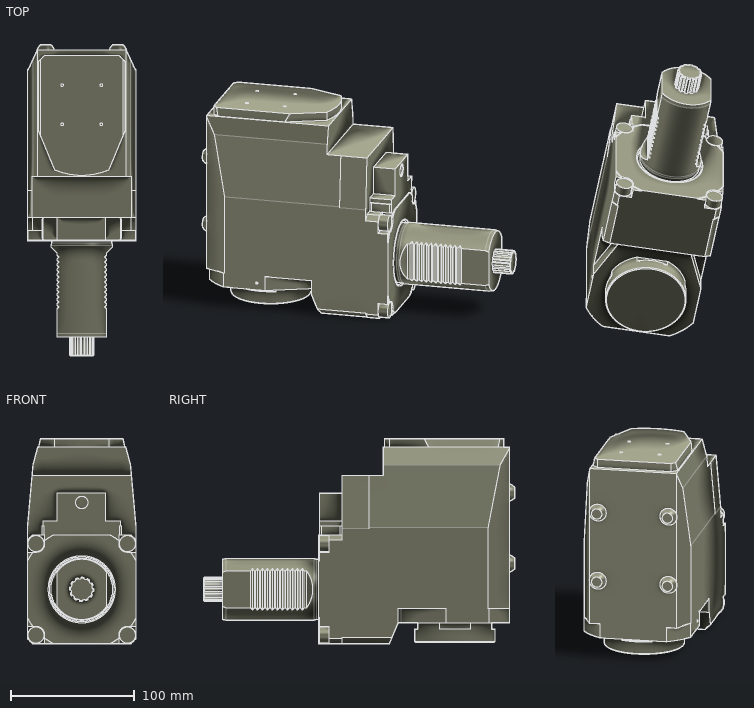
import cadquery as cq
import math


HALF_WIDTH = 44.0
BOTTOM_Z = -HALF_WIDTH
BOTTOM_CHAMFER = 5.0
SIDE_BREAK_Z = 49.7
COLLAR_BREAK_Z = 49.0
SHOULDER_Z = 100.5
SHOULDER_HALF = 39.5

FLANGE_BACK_Y = 18.8
COLLAR_BACK_Y = 40.7
STEP_Y = 52.2
STEP_Z = 92.0
BODY_TOP_Z = 114.8
BODY_TOP_HALF = 35.7
BACK_Y = 154.2
HEAD_BOTTOM_Z = -27.0
SPINDLE_Y = 110.0
LEG_TOP_Y = 64.3
LEG_BOTTOM_Y = 57.3

BACK_CHAMFER_X = 8.0
BACK_CHAMFER_Y = 17.3
LOWER_BACK_Z = -15.3
LOWER_BACK_RADIUS = 52.0

RELIEF_START_Y = 103.0
RELIEF_DEPTH = 16.3
RELIEF_FILLET = 1.8

PLATE_TOP_Z = 121.5
PLATE_TOP_HALF = 33.5
PLATE_BASE_HALF = 35.0
PLATE_BACK_Y = 149.7
PLATE_CORNER = 3.3
PLATE_TAPER_Y = 89.0
PLATE_NOSE_RADIUS = 57.0
PLATE_NOSE_HALF = 21.9
PLATE_HOLE_DIAMETER = 2.1
PLATE_HOLE_OFFSET = 15.8
PLATE_HOLE_DEPTH = 2.5
SIDE_HOLE_DIAMETER = 1.7
SIDE_HOLE_Z = -21.3
SIDE_HOLE_DEPTH = 2.5

SPINDLE_DIAMETER = 65.0
SPINDLE_BOTTOM_Z = -42.7
SPINDLE_CHAMFER = 0.8
SPINDLE_FLATS = 60.0
SPINDLE_FLAT_HEIGHT = 5.0

FLANGE_CHAMFER = 4.3
FACE_STEP = 0.8
RAISED_FACE_DIAMETER = 99.0
POCKET_SIZE = 14.0
POCKET_FLOOR_Y = 8.5
SCREW_DIAMETER = 13.0
SCREW_OFFSET = HALF_WIDTH - POCKET_SIZE / 2
GROOVE_DIAMETER = 54.2
GROOVE_DEPTH = 1.5
GROOVE_CHAMFER = 1.0

BASE_HALF = 32.1
BASE_TOP_Z = 51.2
BASE_CORNER = 1.5
LEDGE_HALF = 31.1
LEDGE_TOP_Z = 55.0
BLOCK_LEFT_X = -19.8
BLOCK_RIGHT_X = 19.0
BLOCK_TOP_Z = 77.5
BLOCK_HOLE_DIAMETER = 10.0
BLOCK_HOLE_Z = 70.0
BLOCK_HOLE_DEPTH = 1.0

SHANK_DIAMETER = 50.0
NECK_DIAMETER = 48.7
NECK_LENGTH = 1.5
NECK_TAPER_END_Y = -3.8
SHANK_END_Y = -77.5
SHANK_END_TAPER = 3.0
FLAT_HALF = 20.0
FLAT_START_Y = -9.5
NOTCH_COUNT = 11
NOTCH_PITCH = 4.0
FIRST_NOTCH_Y = -13.0
NOTCH_WIDTH = 3.0
NOTCH_DEPTH = 1.5

SPLINE_END_Y = -92.7
SPLINE_DIAMETER = 19.5
SPLINE_ROOT_DIAMETER = 17.0
SPLINE_COUNT = 12
SPLINE_GAP_WIDTH = 3.3
SPLINE_GAP_FLOOR = 1.5
SPLINE_PHASE = 4
SPLINE_EDGE = 0.8

BUTTON_DIAMETER = 14.0
BUTTON_HEIGHT = 4.3
BUTTON_TOP_DIAMETER = 8.5
BUTTON_BULGE = 0.3
BUTTON_X = 29.1
BUTTON_Z = (20.8, 78.0)

BIG = 502.3
BOTH_SIDES = (-1, 1)


def box(x, y, z):
    """Box from three (low, high) ranges."""
    size = [high - low for low, high in (x, y, z)]
    return cq.Workplane("XY").box(*size, centered=False).translate((x[0], y[0], z[0]))


def cylinder_y(diameter, y_front, y_back, x=0, z=0):
    """Cylinder along Y between two Y positions."""
    length = y_back - y_front
    return cq.Workplane("XZ", origin=(x, y_back, z)).circle(diameter / 2).extrude(length)


def tapered_section(break_z, y_front, y_back):
    """Housing cross-section with sides that lean inward above break_z."""
    low = HALF_WIDTH - BOTTOM_CHAMFER
    right = [
        (low, BOTTOM_Z),
        (HALF_WIDTH, BOTTOM_Z + BOTTOM_CHAMFER),
        (HALF_WIDTH, break_z),
        (SHOULDER_HALF, SHOULDER_Z),
        (BODY_TOP_HALF, BODY_TOP_Z),
    ]
    left = [(-x, z) for x, z in reversed(right)]
    outline = cq.Workplane("XZ", origin=(0, y_back, 0)).polyline(right + left).close()
    return outline.extrude(y_back - y_front)


def make_body():
    side = [
        (COLLAR_BACK_Y, BOTTOM_Z),
        (LEG_BOTTOM_Y, BOTTOM_Z),
        (LEG_TOP_Y, HEAD_BOTTOM_Z),
        (BACK_Y, HEAD_BOTTOM_Z),
        (BACK_Y, BODY_TOP_Z),
        (STEP_Y, BODY_TOP_Z),
        (STEP_Y, STEP_Z),
        (COLLAR_BACK_Y, STEP_Z),
    ]
    prism = cq.Workplane("YZ").polyline(side).close().extrude(HALF_WIDTH, both=True)
    body = tapered_section(SIDE_BREAK_Z, COLLAR_BACK_Y, BACK_Y).intersect(prism)
    return body.intersect(back_outline()).cut(side_reliefs())


def back_outline():
    """Plan outlines: bevelled back corners above, corners rounded about the spindle below."""
    upper = (
        cq.Workplane("XY", origin=(0, 0, LOWER_BACK_Z))
        .moveTo(-HALF_WIDTH, 0)
        .lineTo(HALF_WIDTH, 0)
        .lineTo(HALF_WIDTH, BACK_Y - BACK_CHAMFER_Y)
        .lineTo(HALF_WIDTH - BACK_CHAMFER_X, BACK_Y)
        .lineTo(BACK_CHAMFER_X - HALF_WIDTH, BACK_Y)
        .lineTo(-HALF_WIDTH, BACK_Y - BACK_CHAMFER_Y)
        .close()
        .extrude(BODY_TOP_Z - LOWER_BACK_Z)
    )
    round_end = (
        cq.Workplane("XY", origin=(0, SPINDLE_Y, BOTTOM_Z))
        .circle(LOWER_BACK_RADIUS)
        .extrude(LOWER_BACK_Z - BOTTOM_Z)
    )
    behind_back = box((-BIG, BIG), (BACK_Y, BIG), (-BIG, BIG))
    ahead = box((-HALF_WIDTH, HALF_WIDTH), (0, SPINDLE_Y), (BOTTOM_Z, LOWER_BACK_Z))
    lower = ahead.union(round_end).cut(behind_back)
    return upper.union(lower)


def side_reliefs():
    """Wedges that narrow the spindle head toward the front leg."""
    left = (
        cq.Workplane("XY", origin=(0, 0, BOTTOM_Z))
        .moveTo(-HALF_WIDTH, RELIEF_START_Y)
        .lineTo(RELIEF_DEPTH - HALF_WIDTH, LEG_TOP_Y)
        .lineTo(-HALF_WIDTH, LEG_TOP_Y)
        .close()
        .extrude(LOWER_BACK_Z - BOTTOM_Z)
        .edges("|Z and >X")
        .fillet(RELIEF_FILLET)
    )
    return left.union(left.mirror("YZ"))


def make_collar():
    collar = tapered_section(COLLAR_BREAK_Z, FLANGE_BACK_Y, COLLAR_BACK_Y)
    below_step = box((-BIG, BIG), (-BIG, BIG), (-BIG, STEP_Z))
    return collar.intersect(below_step)


def make_top_plate():
    nose_y = SPINDLE_Y - math.sqrt(PLATE_NOSE_RADIUS**2 - PLATE_NOSE_HALF**2)
    corner_x = PLATE_TOP_HALF - PLATE_CORNER
    side_y = PLATE_BACK_Y - PLATE_CORNER - (PLATE_BASE_HALF - PLATE_TOP_HALF)
    outline = (
        cq.Workplane("XY", origin=(0, 0, BODY_TOP_Z))
        .moveTo(PLATE_NOSE_HALF, nose_y)
        .lineTo(PLATE_BASE_HALF, PLATE_TAPER_Y)
        .lineTo(PLATE_BASE_HALF, side_y)
        .lineTo(corner_x, PLATE_BACK_Y)
        .lineTo(-corner_x, PLATE_BACK_Y)
        .lineTo(-PLATE_BASE_HALF, side_y)
        .lineTo(-PLATE_BASE_HALF, PLATE_TAPER_Y)
        .lineTo(-PLATE_NOSE_HALF, nose_y)
        .threePointArc((0, SPINDLE_Y - PLATE_NOSE_RADIUS), (PLATE_NOSE_HALF, nose_y))
        .close()
    )
    plate = outline.extrude(PLATE_TOP_Z - BODY_TOP_Z)
    bevelled_sides = (
        cq.Workplane("XZ", origin=(0, BACK_Y, 0))
        .moveTo(-PLATE_BASE_HALF, BODY_TOP_Z)
        .lineTo(PLATE_BASE_HALF, BODY_TOP_Z)
        .lineTo(PLATE_TOP_HALF, PLATE_TOP_Z)
        .lineTo(-PLATE_TOP_HALF, PLATE_TOP_Z)
        .close()
        .extrude(BACK_Y)
    )
    plate = plate.intersect(bevelled_sides)
    holes = (
        cq.Workplane("XY", origin=(0, SPINDLE_Y, PLATE_TOP_Z))
        .rect(2 * PLATE_HOLE_OFFSET, 2 * PLATE_HOLE_OFFSET, forConstruction=True)
        .vertices()
        .circle(PLATE_HOLE_DIAMETER / 2)
        .extrude(-PLATE_HOLE_DEPTH)
    )
    return plate.cut(holes)


def make_spindle():
    """Spindle disc with four drive flats just below the housing."""
    disc = (
        cq.Workplane("XY", origin=(0, SPINDLE_Y, SPINDLE_BOTTOM_Z))
        .circle(SPINDLE_DIAMETER / 2)
        .extrude(HEAD_BOTTOM_Z - SPINDLE_BOTTOM_Z)
        .faces("<Z")
        .chamfer(SPINDLE_CHAMFER)
    )
    top = cq.Workplane("XY", origin=(0, SPINDLE_Y, HEAD_BOTTOM_Z))
    ring = top.circle(SPINDLE_DIAMETER).extrude(-SPINDLE_FLAT_HEIGHT)
    square = top.rect(SPINDLE_FLATS, SPINDLE_FLATS).extrude(-SPINDLE_FLAT_HEIGHT)
    return disc.cut(ring.cut(square))


def corner_pocket(side_x, side_z):
    """Screw seat open at a flange corner, rounded about the screw on the inner side."""
    inner = HALF_WIDTH - POCKET_SIZE
    start = cq.Workplane("XZ", origin=(0, POCKET_FLOOR_Y, 0))
    diagonal = SCREW_OFFSET - POCKET_SIZE / 2 * math.sqrt(0.5)
    outline = (
        start.moveTo(side_x * inner, side_z * HALF_WIDTH)
        .lineTo(side_x * inner, side_z * SCREW_OFFSET)
        .threePointArc(
            (side_x * diagonal, side_z * diagonal),
            (side_x * SCREW_OFFSET, side_z * inner),
        )
        .lineTo(side_x * HALF_WIDTH, side_z * inner)
        .lineTo(side_x * HALF_WIDTH, side_z * HALF_WIDTH)
        .close()
    )
    return outline.extrude(POCKET_FLOOR_Y)


def make_flange():
    block = (
        cq.Workplane("XZ", origin=(0, FLANGE_BACK_Y, 0))
        .rect(2 * HALF_WIDTH, 2 * HALF_WIDTH)
        .extrude(FLANGE_BACK_Y)
        .edges("|Y")
        .chamfer(FLANGE_CHAMFER)
    )
    face_layer = box((-BIG, BIG), (0, FACE_STEP), (-BIG, BIG))
    flange = block.cut(face_layer.cut(cylinder_y(RAISED_FACE_DIAMETER, 0, FACE_STEP)))

    for side_x in BOTH_SIDES:
        for side_z in BOTH_SIDES:
            x = side_x * SCREW_OFFSET
            z = side_z * SCREW_OFFSET
            screw = cylinder_y(SCREW_DIAMETER, FACE_STEP, POCKET_FLOOR_Y, x, z)
            flange = flange.cut(corner_pocket(side_x, side_z)).union(screw)

    groove = cylinder_y(GROOVE_DIAMETER, 0, GROOVE_DEPTH).faces(">Y").chamfer(GROOVE_CHAMFER)
    return flange.cut(groove)


def make_coolant_block():
    depth = (FACE_STEP, FLANGE_BACK_Y)
    base = box((-BASE_HALF, BASE_HALF), depth, (HALF_WIDTH, BASE_TOP_Z))
    base = base.edges("|Z").chamfer(BASE_CORNER)
    ledge = box((-LEDGE_HALF, LEDGE_HALF), depth, (BASE_TOP_Z, LEDGE_TOP_Z))
    block = box((BLOCK_LEFT_X, BLOCK_RIGHT_X), depth, (LEDGE_TOP_Z, BLOCK_TOP_Z))
    hole = cylinder_y(BLOCK_HOLE_DIAMETER, FACE_STEP, FACE_STEP + BLOCK_HOLE_DEPTH, 0, BLOCK_HOLE_Z)
    return base.union(ledge).union(block).cut(hole)


def make_shank():
    neck = NECK_DIAMETER / 2
    radius = SHANK_DIAMETER / 2
    profile = [
        (0, GROOVE_DEPTH),
        (neck, GROOVE_DEPTH),
        (neck, -NECK_LENGTH),
        (radius, NECK_TAPER_END_Y),
        (radius, SHANK_END_Y + SHANK_END_TAPER),
        (neck, SHANK_END_Y),
        (0, SHANK_END_Y),
    ]
    shank = cq.Workplane("XY").polyline(profile).close().revolve(360, (0, 0), (0, 1))

    flat = [
        (FLAT_HALF, SHANK_END_Y),
        (FLAT_HALF, FLAT_START_Y),
        (FLAT_HALF + radius, FLAT_START_Y + radius),
        (FLAT_HALF + radius, SHANK_END_Y),
    ]
    cutter = cq.Workplane("XY").polyline(flat).close().extrude(radius, both=True)
    for index in range(NOTCH_COUNT):
        y = FIRST_NOTCH_Y - index * NOTCH_PITCH
        notch = [
            (FLAT_HALF, y - NOTCH_WIDTH / 2),
            (FLAT_HALF - NOTCH_DEPTH, y),
            (FLAT_HALF, y + NOTCH_WIDTH / 2),
        ]
        cutter = cutter.union(cq.Workplane("XY").polyline(notch).close().extrude(radius, both=True))
    return shank.cut(cutter).cut(cutter.mirror("YZ"))


def make_spline():
    """Spline shaft with evenly spaced gaps that narrow toward the root."""
    tip = SPLINE_DIAMETER / 2
    length = SHANK_END_Y - SPLINE_END_Y
    spline = cylinder_y(SPLINE_DIAMETER, SPLINE_END_Y, SHANK_END_Y).faces("<Y").chamfer(SPLINE_EDGE)
    root = SPLINE_ROOT_DIAMETER / 2
    gap = (
        cq.Workplane("XZ", origin=(0, SHANK_END_Y, 0))
        .moveTo(-SPLINE_GAP_WIDTH / 2, tip)
        .lineTo(-SPLINE_GAP_FLOOR / 2, root)
        .lineTo(SPLINE_GAP_FLOOR / 2, root)
        .lineTo(SPLINE_GAP_WIDTH / 2, tip)
        .close()
        .extrude(length)
    )
    step_angle = 360 / SPLINE_COUNT
    for index in range(SPLINE_COUNT):
        angle = SPLINE_PHASE + (index + 0.5) * step_angle
        spline = spline.cut(gap.rotate((0, 0, 0), (0, 1, 0), angle))
    return spline


def make_button(x, z):
    """Flat-topped domed screw head standing on the back face."""
    base = BUTTON_DIAMETER / 2
    top = BUTTON_TOP_DIAMETER / 2
    dome_middle = ((base + top) / 2 + BUTTON_BULGE, BUTTON_HEIGHT / 2 + BUTTON_BULGE)
    profile = (
        cq.Workplane("XY")
        .lineTo(base, 0)
        .threePointArc(dome_middle, (top, BUTTON_HEIGHT))
        .lineTo(0, BUTTON_HEIGHT)
        .close()
    )
    return profile.revolve(360, (0, 0), (0, 1)).translate((x, BACK_Y, z))


side_hole = (
    cq.Workplane("YZ", origin=(-HALF_WIDTH, SPINDLE_Y, SIDE_HOLE_Z))
    .circle(SIDE_HOLE_DIAMETER / 2)
    .extrude(SIDE_HOLE_DEPTH)
)

result = make_body().cut(side_hole)
for feature in (
    make_collar(),
    make_top_plate(),
    make_spindle(),
    make_flange(),
    make_coolant_block(),
    make_shank(),
    make_spline(),
):
    result = result.union(feature)
for button_z in BUTTON_Z:
    for side in BOTH_SIDES:
        result = result.union(make_button(side * BUTTON_X, button_z))